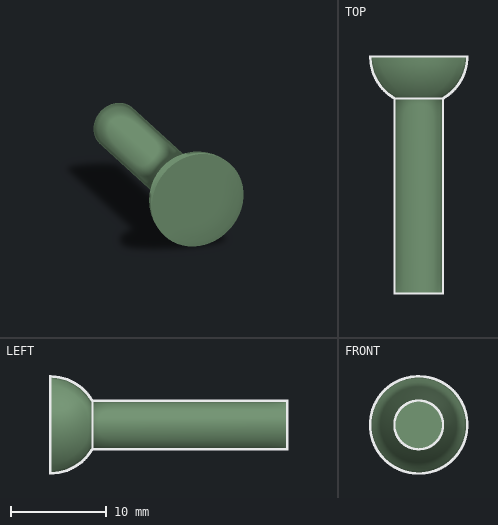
import cadquery as cq
import math

head_diameter = 10.16
shank_diameter = head_diameter / 2
shank_length = 20.32

head_radius = head_diameter / 2
shank_radius = shank_diameter / 2

junction_y = -math.sqrt(head_radius**2 - shank_radius**2)
shank_end_y = junction_y - shank_length


def make_head():
    """Half ball: a quarter disc revolved about the Y axis, flat toward +Y."""
    arc_middle = head_radius * math.sqrt(0.5)
    return (
        cq.Workplane("XY")
        .lineTo(head_radius, 0)
        .threePointArc((arc_middle, -arc_middle), (0, -head_radius))
        .close()
        .revolve(360, (0, 0), (0, 1))
    )


def make_shank():
    """Plain round shank from its free end to the flat face of the head."""
    return (
        cq.Workplane("XZ", origin=(0, shank_end_y, 0))
        .circle(shank_radius)
        .extrude(shank_end_y)
    )


result = make_head().union(make_shank())